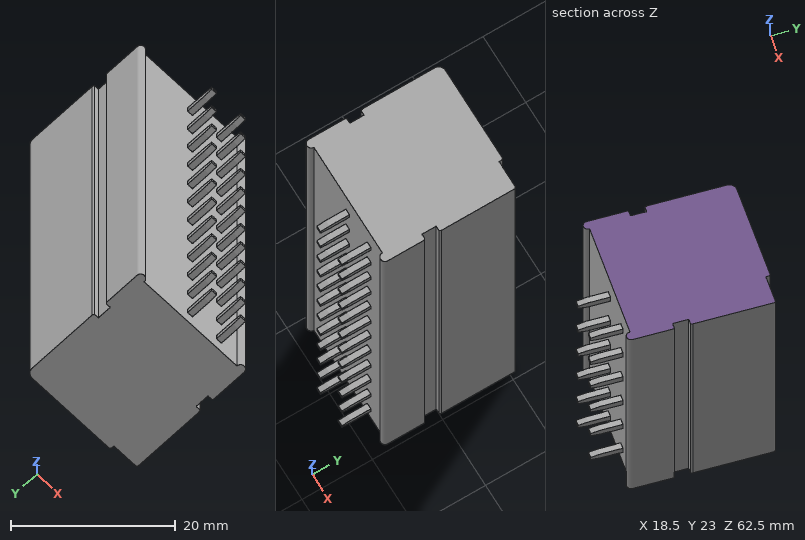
import cadquery as cq

width = 18.5
depth = 19.5
height = 62.5

back_corner_radius = 1.0
back_step_x = 14.5
back_step_depth = 0.6
back_step_radius = 0.3

groove_front_y = 6.0
groove_back_y = 8.0
groove_depth = 0.8
groove_edge_radius = 0.25
groove_bevel_length = 0.3
groove_bevel_inset = 0.1

foot_radius = 0.62

pin_length = 3.5
pin_width = 0.85
pin_thickness = 0.85
pin_tip_thickness = 0.5
pin_taper_length = 1.3
pin_pitch = 5.0
pin_rows = 12
pin_columns = 2
first_pin_x = 9.15
first_pin_z = 2.8


def make_blank():
    """Extrude the outline, with the step at the back and the recess between the feet."""
    return (
        cq.Workplane("XY")
        .moveTo(0, foot_radius)
        .threePointArc((foot_radius, 0), (2 * foot_radius, foot_radius))
        .lineTo(width - 2 * foot_radius, foot_radius)
        .threePointArc((width - foot_radius, 0), (width, foot_radius))
        .lineTo(width, depth - back_step_depth)
        .lineTo(back_step_x, depth - back_step_depth)
        .lineTo(back_step_x, depth)
        .lineTo(0, depth)
        .close()
        .extrude(height)
    )


def fillet_upright_edge(body, x, y, radius):
    """Round the edge parallel to Z that passes through (x, y)."""
    nearest = cq.selectors.NearestToPointSelector((x, y, height / 2))
    return body.edges("|Z").edges(nearest).fillet(radius)


def cut_side_groove(body, side_x, inward):
    """Cut a groove with a bevelled back lip into one side, then round its front lip.

    The direction inward is +1 or -1 along X, from the side into the housing.
    """
    floor_x = side_x + inward * groove_depth
    bevel_x = side_x + inward * groove_bevel_inset
    groove = (
        cq.Workplane("XY")
        .moveTo(side_x, groove_front_y)
        .lineTo(floor_x, groove_front_y)
        .lineTo(floor_x, groove_back_y)
        .lineTo(bevel_x, groove_back_y)
        .lineTo(side_x, groove_back_y + groove_bevel_length)
        .close()
        .extrude(height)
    )
    return fillet_upright_edge(body.cut(groove), side_x, groove_front_y, groove_edge_radius)


def make_housing():
    body = make_blank()
    body = fillet_upright_edge(body, 0, depth, back_corner_radius)
    body = fillet_upright_edge(body, back_step_x, depth, back_step_radius)
    body = fillet_upright_edge(body, width, depth - back_step_depth, back_step_radius)
    body = cut_side_groove(body, 0, 1)
    return cut_side_groove(body, width, -1)


def make_pin(x, z):
    """A flat pin centred on (x, z), tapered in thickness toward its tip."""
    half = pin_thickness / 2
    half_tip = pin_tip_thickness / 2
    taper_y = pin_taper_length - pin_length
    side_profile = [
        (foot_radius, z - half),
        (taper_y, z - half),
        (-pin_length, z - half_tip),
        (-pin_length, z + half_tip),
        (taper_y, z + half),
        (foot_radius, z + half),
    ]
    return (
        cq.Workplane("YZ", origin=(x - pin_width / 2, 0, 0))
        .polyline(side_profile)
        .close()
        .extrude(pin_width)
    )


result = make_housing()
for column in range(pin_columns):
    for row in range(pin_rows):
        pin_x = first_pin_x + column * pin_pitch
        pin_z = first_pin_z + row * pin_pitch
        result = result.union(make_pin(pin_x, pin_z))